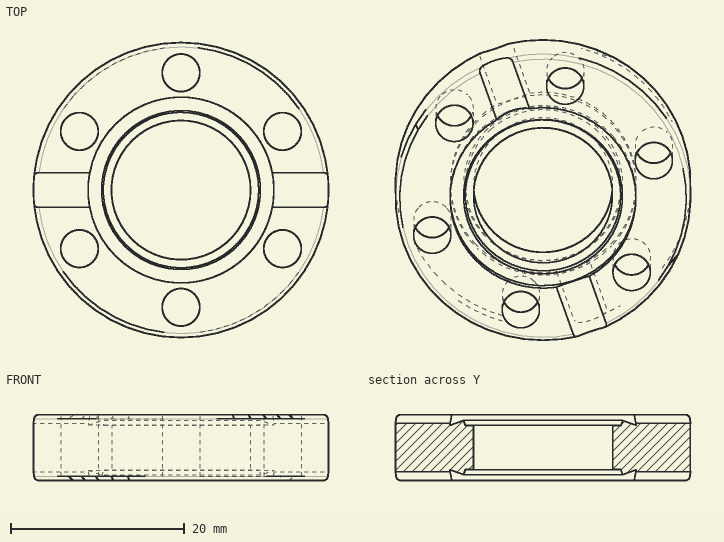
import cadquery as cq

outer_diameter = 34.0
thickness = 7.6
bore_diameter = 16.0
edge_radius = 0.5

recess_diameter = 21.4
recess_depth = 1.2
knife_diameter = 18.3
knife_depth = 0.65
inner_floor_diameter = 17.9
inner_floor_depth = 1.25

bolt_count = 6
bolt_diameter = 4.3
bolt_circle_diameter = 27.0
first_bolt_angle = 90.0

groove_width = 4.0
groove_radius = 2.5


def make_body():
    """Solid disc resting on Z = 0, with both rims rounded."""
    disc = cq.Workplane("XY").circle(outer_diameter / 2).extrude(thickness)
    return disc.faces("<Z or >Z").edges().fillet(edge_radius)


def make_top_recess():
    """Revolved cut leaving a knife edge that stands up from the recess floor."""
    floor_z = thickness - inner_floor_depth
    return (
        cq.Workplane("XZ")
        .moveTo(0, thickness)
        .lineTo(recess_diameter / 2, thickness)
        .lineTo(recess_diameter / 2, thickness - recess_depth)
        .lineTo(knife_diameter / 2, thickness - knife_depth)
        .lineTo(inner_floor_diameter / 2, floor_z)
        .lineTo(0, floor_z)
        .close()
        .revolve(360, (0, 0, 0), (0, 1, 0))
    )


def make_top_grooves():
    """Round-bottomed channels running from the recess out through the rim."""
    half_width = groove_width / 2
    axis_height = (groove_radius**2 - half_width**2) ** 0.5
    channel = (
        cq.Workplane("YZ")
        .center(0, thickness + axis_height)
        .circle(groove_radius)
        .extrude(outer_diameter / 2, both=True)
    )
    core = cq.Workplane("XY").circle(recess_diameter / 2).extrude(thickness + 2 * groove_radius)
    return channel.cut(core)


def make_bolt_holes():
    """Through holes equally spaced on the bolt circle."""
    return (
        cq.Workplane("XY")
        .polarArray(bolt_circle_diameter / 2, first_bolt_angle, 360, bolt_count)
        .circle(bolt_diameter / 2)
        .extrude(thickness)
    )


def mirror_to_bottom(cutter):
    """Copy of a top-face cutter, reflected about mid-thickness."""
    return cutter.mirror("XY", (0, 0, thickness / 2))


bore = cq.Workplane("XY").circle(bore_diameter / 2).extrude(thickness)
result = make_body().cut(bore).cut(make_bolt_holes())
for top_cutter in (make_top_recess(), make_top_grooves()):
    result = result.cut(top_cutter).cut(mirror_to_bottom(top_cutter))